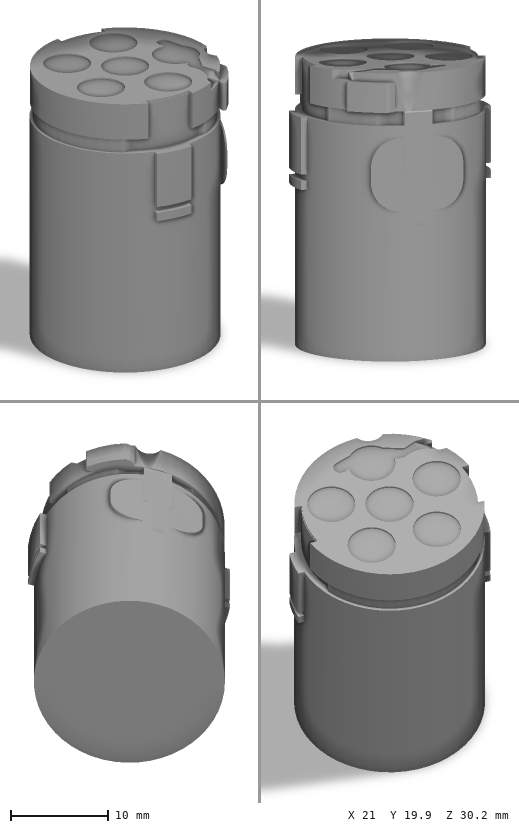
import cadquery as cq
import math

total_height = 30.2
body_top = 24.67
head_bottom = 26.2
cap_thickness = 0.2
core_top = total_height - cap_thickness

beyond_rim = 12.08

body_radius = 9.85
head_radius = 9.8
neck_radius = 9.55
core_radius = 9.12

side_recess_x = 8.2
back_recess_y = 8.6

notch_width = 5.2
cap_notch_radius = 9.05

contact_radius = 2.48
contact_circle_radius = 6.0
outer_contact_count = 5

width_across_lugs = 21.0
lug_radius = width_across_lugs / 2
left_lug_width = 2.95
right_lug_width = 4.1
lug_bottom = 18.7
bar_top = 18.03
bar_bottom = 17.1

channel_end_y = 7.55
channel_corner_y = 5.62
channel_lobe_y = 5.75
channel_neck_y = 6.05
exit_x = 6.45
exit_ramp_start_x = 5.22
exit_ramp_low_y = 6.35
exit_level = 29.3

tab_radius = 10.65

rim_notch_x = 1.15
rim_notch_y = 10.63
rim_notch_top_radius = 1.65
rim_notch_bottom_radius = 0.9

flat_y = 9.78
flat_bottom = 14.2
leaf_radius = 24.75
leaf_thickness = 0.2
leaf_width = 9.97
leaf_height = 7.67
leaf_corner_radius = 3.02
leaf_center_z = 19.57
strip_inner_leg_y = 9.18
strip_width = 3.02
strip_bend_radius = 0.18


def cylinder(radius, bottom, top, y=0.0):
    """Upright cylinder between two levels."""
    return cq.Workplane("XY", origin=(0, y, bottom)).circle(radius).extrude(top - bottom)


def block(x_range, y_range, z_range):
    """Axis-aligned block given by its limits along each axis."""
    size = [high - low for low, high in (x_range, y_range, z_range)]
    corner = (x_range[0], y_range[0], z_range[0])
    return cq.Workplane("XY", origin=corner).box(*size, centered=False)


def point_on_circle(radius, x):
    """Point with the given x on the +Y half of a circle about the axis."""
    return (x, math.sqrt(radius**2 - x**2))


def make_body():
    """Lower cylinder with a shallow flat behind the spring."""
    body = cylinder(body_radius, 0, body_top)
    flat = block((-body_radius, body_radius), (flat_y, beyond_rim), (flat_bottom, body_top))
    return body.cut(flat)


def make_neck():
    """Neck whose left, right and back sectors drop to the core radius."""
    raised = cylinder(neck_radius, body_top, head_bottom)
    raised = raised.intersect(
        block((-side_recess_x, side_recess_x), (-beyond_rim, back_recess_y), (body_top, head_bottom))
    )
    return raised.union(cylinder(core_radius, body_top, head_bottom))


def side_notches(inner_radius, bottom, top):
    """Material outside the inner radius within the notch width, on both sides."""
    bar = block((-beyond_rim, beyond_rim), (-notch_width / 2, notch_width / 2), (bottom, top))
    return bar.cut(cylinder(inner_radius, bottom, top))


def make_head():
    """Head disc with two side notches and a conical notch in its back rim."""
    head = cylinder(head_radius, head_bottom, total_height)
    head = head.cut(side_notches(core_radius, head_bottom, core_top))
    head = head.cut(side_notches(cap_notch_radius, core_top, total_height))
    cone = (
        cq.Workplane("XY", origin=(rim_notch_x, rim_notch_y, head_bottom))
        .circle(rim_notch_bottom_radius)
        .workplane(offset=total_height - head_bottom)
        .circle(rim_notch_top_radius)
        .loft()
    )
    return head.cut(cone)


def contact_recesses():
    """One central recess and a ring of five, the first one toward +Y."""
    centers = [(0.0, 0.0)]
    for index in range(outer_contact_count):
        angle = math.pi / 2 + index * 2 * math.pi / outer_contact_count
        centers.append((contact_circle_radius * math.cos(angle), contact_circle_radius * math.sin(angle)))
    plane = cq.Workplane("XY", origin=(0, 0, core_top))
    return plane.pushPoints(centers).circle(contact_radius).extrude(cap_thickness)


def channel(bottom):
    """Channel crossing the back contact, from a rounded lobe on the left to the right rim."""
    outline = (
        cq.Workplane("XY", origin=(0, 0, bottom))
        .moveTo(-1.75, 7.73)
        .lineTo(-2.42, 7.52)
        .lineTo(-3.53, 7.1)
        .threePointArc((-3.95, 6.43), (-3.53, channel_lobe_y))
        .lineTo(-2.9, channel_lobe_y)
        .lineTo(-2.45, channel_neck_y)
        .lineTo(2.45, channel_neck_y)
        .lineTo(2.85, channel_lobe_y)
        .lineTo(3.5, channel_lobe_y)
        .threePointArc((5.3, 6.28), (6.65, 6.0))
        .lineTo(7.25, channel_corner_y)
        .lineTo(beyond_rim, channel_corner_y)
        .lineTo(beyond_rim, channel_end_y)
        .lineTo(exit_ramp_start_x, channel_end_y)
        .lineTo(3.87, 6.95)
        .lineTo(1.6, 7.8)
        .close()
    )
    return outline.extrude(total_height - bottom)


def exit_ramp():
    """Sloping corner between the channel floor and the lower exit floor."""
    start = cq.Vector(exit_ramp_start_x, channel_end_y, core_top)
    side = cq.Vector(exit_x, exit_ramp_low_y, core_top)
    low = cq.Vector(exit_x, channel_end_y, exit_level)
    high = cq.Vector(exit_x, channel_end_y, core_top)
    triangles = [(start, side, low), (start, side, high), (start, low, high), (side, low, high)]
    faces = [cq.Face.makeFromWires(cq.Wire.makePolygon(corners, close=True)) for corners in triangles]
    return cq.Workplane(cq.Solid.makeSolid(cq.Shell.makeShell(faces)))


def channel_exit():
    """Lower floor where the channel reaches the rim."""
    beyond_exit = block((exit_x, beyond_rim), (0, beyond_rim), (exit_level, total_height))
    return channel(exit_level).intersect(beyond_exit)


def make_tab():
    """Curved tab outside the rim, ending level with the channel wall."""
    outline = (
        cq.Workplane("XY", origin=(0, 0, head_bottom))
        .moveTo(2.55, 9.35)
        .lineTo(2.55, 9.75)
        .lineTo(3.1, 10.0)
        .lineTo(*point_on_circle(tab_radius, 3.62))
        .threePointArc(point_on_circle(tab_radius, 5.6), point_on_circle(tab_radius, 7.0))
        .threePointArc((7.15, 7.82), (6.95, channel_end_y))
        .lineTo(6.05, channel_end_y)
        .close()
    )
    return outline.extrude(exit_level - head_bottom)


def make_lug(side, width, bottom, top):
    """Curved lug on the left (side -1) or right (side +1) of the body."""
    x_range = sorted((side * core_radius, side * beyond_rim))
    bar = block(x_range, (-width / 2, width / 2), (bottom, top))
    return bar.intersect(cylinder(lug_radius, bottom, top))


def make_spring():
    """Springy leaf on the back, with a strip rising past the neck and folded back down."""
    shell = cylinder(leaf_radius, 0, total_height, y=flat_y - leaf_radius)
    shell = shell.cut(cylinder(leaf_radius - leaf_thickness, 0, total_height, y=flat_y - leaf_radius))
    leaf = block(
        (-leaf_width / 2, leaf_width / 2),
        (0, beyond_rim),
        (leaf_center_z - leaf_height / 2, leaf_center_z + leaf_height / 2),
    )
    leaf = leaf.edges("|Y").fillet(leaf_corner_radius).intersect(shell)

    strip_x = (-strip_width / 2, strip_width / 2)
    strip = block(strip_x, (strip_inner_leg_y - leaf_thickness, flat_y), (leaf_center_z, head_bottom))
    strip = strip.edges(">Y and >Z").fillet(strip_bend_radius)
    fold_y = (strip_inner_leg_y, flat_y - leaf_thickness)
    strip = strip.cut(block(strip_x, fold_y, (body_top, head_bottom - leaf_thickness)))
    return leaf.union(strip)


result = make_body().union(make_neck()).union(make_head())
for recess in (contact_recesses(), channel(core_top), channel_exit(), exit_ramp()):
    result = result.cut(recess)
result = result.union(make_tab()).union(make_spring())
for lug_side, lug_width in ((-1, left_lug_width), (1, right_lug_width)):
    result = result.union(make_lug(lug_side, lug_width, lug_bottom, body_top))
    result = result.union(make_lug(lug_side, lug_width, bar_bottom, bar_top))